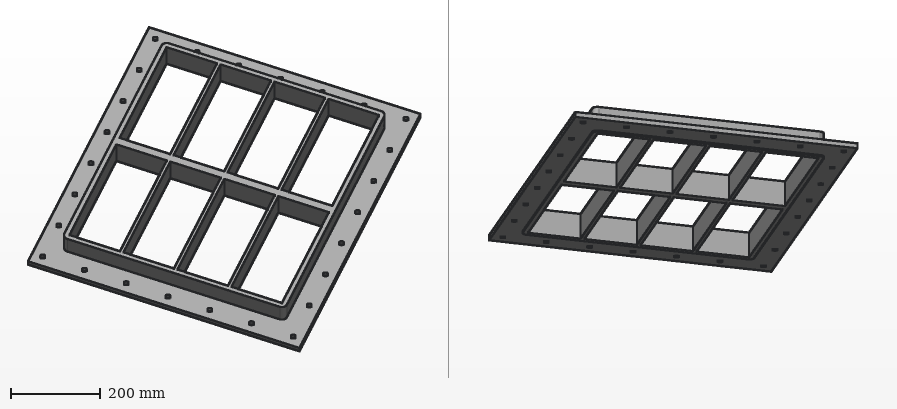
import cadquery as cq

flange_x = 652.0
flange_y = 716.0
flange_thickness = 12.0

flange_margin = 59.0
frame_x = flange_x - 2 * flange_margin
frame_y = flange_y - 2 * flange_margin
frame_height = 60.0
frame_drop = 3.0
frame_wall = 12.0
corner_radius = 12.0

columns = 4
rows = 2
slim_bar = 8.5
middle_bar = 20.0
opening_x = (frame_x - 2 * frame_wall - (columns - 1) * slim_bar) / columns
opening_y = (frame_y - 2 * frame_wall - (rows - 1) * middle_bar) / rows

hole_diameter = 11.0
hole_inset = 25.0
holes_along_x = 7
holes_along_y = 8
hole_span_x = flange_x - 2 * hole_inset
hole_span_y = flange_y - 2 * hole_inset


def make_flange():
    """Flat plate with a single row of bolt holes along its rim."""
    pitch_x = hole_span_x / (holes_along_x - 1)
    pitch_y = hole_span_y / (holes_along_y - 1)
    hole_points = []
    for side in (-1, 1):
        for i in range(holes_along_x):
            hole_points.append((-hole_span_x / 2 + i * pitch_x, side * hole_span_y / 2))
        for j in range(1, holes_along_y - 1):
            hole_points.append((side * hole_span_x / 2, -hole_span_y / 2 + j * pitch_y))
    plate = cq.Workplane("XY").rect(flange_x, flange_y).extrude(flange_thickness)
    holes = (
        cq.Workplane("XY")
        .pushPoints(hole_points)
        .circle(hole_diameter / 2)
        .extrude(flange_thickness)
    )
    return plate.cut(holes)


def make_frame_block():
    """Solid block with rounded upright corners, before the openings are cut."""
    return (
        cq.Workplane("XY", origin=(0, 0, -frame_drop))
        .rect(frame_x, frame_y)
        .extrude(frame_height)
        .edges("|Z")
        .fillet(corner_radius)
    )


def make_openings():
    """Through openings that leave the frame walls and bars standing."""
    return (
        cq.Workplane("XY", origin=(0, 0, -frame_drop))
        .rarray(opening_x + slim_bar, opening_y + middle_bar, columns, rows)
        .rect(opening_x, opening_y)
        .extrude(frame_height)
    )


result = make_flange().union(make_frame_block()).cut(make_openings())